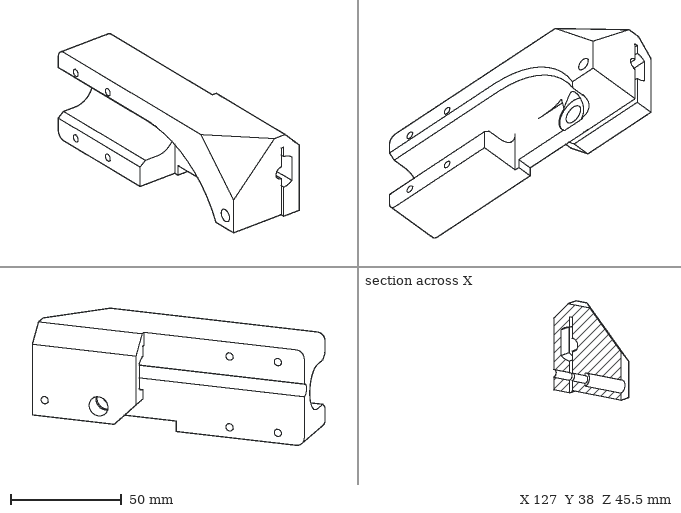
import cadquery as cq
import math

length = 127.0
height = 45.5
body_depth = 27.5
end_radius = 4.0
grip_length = 61.6
body_bottom = 5.0
corner_cut = 23.6

channel_radius = 10.0
channel_floor = channel_radius * 2
upper_center_z = 23.5
lower_center_z = 22.5
lip_width = 2.4
lip_depth = 3.0
straight_length = 64.8
bend_center_z = -18.9
pocket_start = 59.3
pocket_end = 89.9

flange_start = 77.1
flange_back = 38.0
flange_front = 29.0
flange_bottom = 3.7
rib_bottom = 39.2
flange_top_chamfer = 8.1
flange_corner_cut = 10.5

groove_z = 26.5
body_groove_diameter = 6.0
flange_groove_radius = 7.9
flange_groove_center_y = 28.6
flange_groove_floor = 33.7

screw_diameter = 3.4
screw_xs = (12.7, 36.0)
screw_zs = (5.0, 38.6)
pivot_x = 95.1
pivot_z = 11.4
pivot_diameter = 9.0
pivot_seat_diameter = 17.0
pivot_seat_depth = 20.6
tip_x = 121.0
tip_counterbore_diameter = 6.0


def box(x0, x1, y0, y1, z0, z1):
    return cq.Workplane("XY").box(x1 - x0, y1 - y0, z1 - z0, centered=False).translate((x0, y0, z0))


def hole(x, z, diameter, depth):
    """Cylinder entering the front face at (x, z)."""
    return cq.Workplane("XZ").center(x, z).circle(diameter / 2).extrude(-depth)


def make_body():
    body = box(0, length, 0, body_depth, 0, height).edges("|Y and <X").fillet(end_radius)
    body = body.cut(box(grip_length, length, 0, body_depth, 0, body_bottom))
    groove = cq.Workplane("YZ").center(body_depth, groove_z).circle(body_groove_diameter / 2).extrude(length)
    return body.cut(groove)


def make_flange():
    profile = [
        (body_depth, height),
        (flange_back - flange_top_chamfer, height),
        (flange_back, height - flange_top_chamfer),
        (flange_back, flange_bottom),
        (flange_front, flange_bottom),
        (flange_front, rib_bottom),
        (body_depth, rib_bottom),
    ]
    span = length - flange_start
    flange = cq.Workplane("YZ", origin=(flange_start, 0, 0)).polyline(profile).close().extrude(span)
    groove = (
        cq.Workplane("YZ", origin=(flange_start, 0, 0))
        .center(flange_groove_center_y, groove_z)
        .circle(flange_groove_radius)
        .extrude(span)
    )
    groove = groove.intersect(box(flange_start, length, flange_front, flange_groove_floor, 0, rib_bottom))
    corner = (
        cq.Workplane("XZ")
        .moveTo(flange_start, flange_bottom)
        .lineTo(flange_start + flange_corner_cut, flange_bottom)
        .lineTo(flange_start, flange_bottom + flange_corner_cut)
        .close()
        .extrude(-flange_back)
    )
    return flange.cut(groove).cut(corner)


def upper_channel_wall(plane):
    """Start a channel profile: front lip, upper side and quarter round down to the floor."""
    top = upper_center_z + channel_radius
    diagonal = channel_radius * math.sqrt(0.5)
    return (
        plane.moveTo(0, top + lip_width)
        .lineTo(lip_depth, top)
        .lineTo(channel_radius, top)
        .threePointArc(
            (channel_radius + diagonal, upper_center_z + diagonal),
            (channel_floor, upper_center_z),
        )
    )


def make_straight_channel():
    bottom = lower_center_z - channel_radius
    diagonal = channel_radius * math.sqrt(0.5)
    return (
        upper_channel_wall(cq.Workplane("YZ"))
        .lineTo(channel_floor, lower_center_z)
        .threePointArc(
            (channel_radius + diagonal, lower_center_z - diagonal),
            (channel_radius, bottom),
        )
        .lineTo(lip_depth, bottom)
        .lineTo(0, bottom - lip_width)
        .close()
        .extrude(straight_length)
    )


def make_bent_channel():
    return (
        upper_channel_wall(cq.Workplane("YZ", origin=(straight_length, 0, 0)))
        .lineTo(channel_floor, bend_center_z)
        .lineTo(0, bend_center_z)
        .close()
        .revolve(90, (0, bend_center_z, 0), (1, bend_center_z, 0))
    )


def make_corner_slice():
    """Tetrahedron at the front, top, right corner with equal legs along X, Y and Z."""
    corner = cq.Vector(length, 0, height)
    along_x = cq.Vector(length - corner_cut, 0, height)
    along_y = cq.Vector(length, corner_cut, height)
    along_z = cq.Vector(length, 0, height - corner_cut)
    triangles = (
        (corner, along_x, along_y),
        (corner, along_y, along_z),
        (corner, along_z, along_x),
        (along_x, along_y, along_z),
    )
    faces = [cq.Face.makeFromWires(cq.Wire.makePolygon(points, close=True)) for points in triangles]
    return cq.Workplane(cq.Solid.makeSolid(cq.Shell.makeShell(faces)))


result = make_body().union(make_flange())
result = result.cut(make_straight_channel()).cut(make_bent_channel())
result = result.cut(box(pocket_start, pocket_end, 0, channel_floor, 0, lower_center_z))

for screw_x in screw_xs:
    for screw_z in screw_zs:
        result = result.cut(hole(screw_x, screw_z, screw_diameter, body_depth))
result = result.cut(hole(pivot_x, pivot_z, pivot_diameter, flange_back))
result = result.cut(hole(pivot_x, pivot_z, pivot_seat_diameter, pivot_seat_depth))
result = result.cut(hole(tip_x, pivot_z, screw_diameter, flange_back))
result = result.cut(hole(tip_x, pivot_z, tip_counterbore_diameter, channel_floor))
result = result.cut(make_corner_slice())